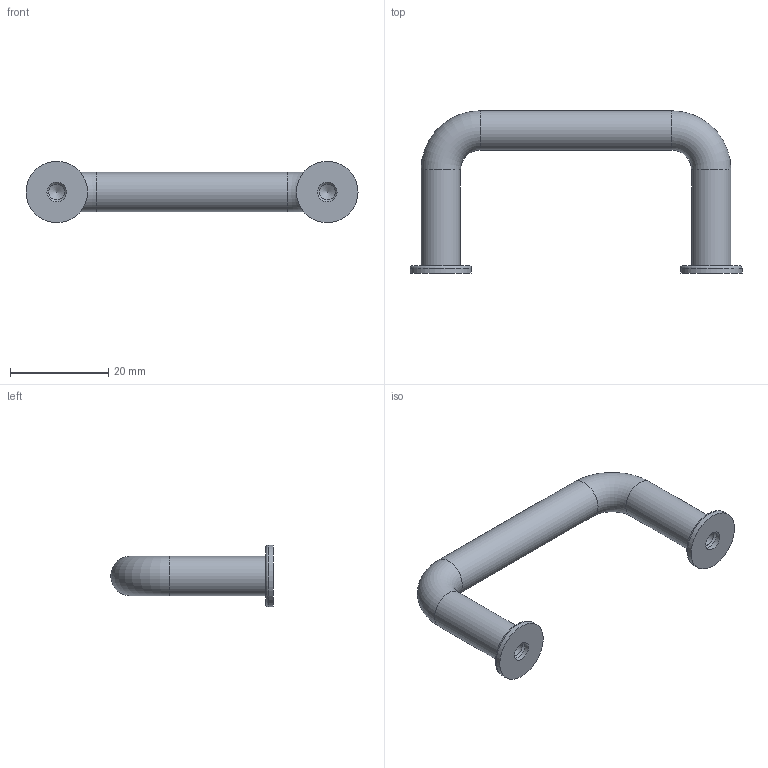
import cadquery as cq
import math

hole_spacing = 55.0
handle_depth = 33.0
bar_diameter = 8.0
bend_radius = 8.0
flange_diameter = 12.5
flange_thickness = 1.5
flange_edge_radius = 0.5
hole_diameter = 3.24
entry_diameter = 4.0
entry_depth = 1.0
hole_depth = 10.0
drill_tip_angle = 118.0

leg_x = hole_spacing / 2
grip_y = handle_depth - bar_diameter / 2
bend_start_y = grip_y - bend_radius
bend_end_x = leg_x - bend_radius
countersink_depth = (entry_diameter - hole_diameter) / 2
drill_tip_length = hole_diameter / 2 / math.tan(math.radians(drill_tip_angle / 2))


def make_bar():
    """Round bar bent into a U, with both leg ends on the mounting plane Y = 0."""
    path = (
        cq.Workplane("XY")
        .moveTo(-leg_x, 0)
        .lineTo(-leg_x, bend_start_y)
        .tangentArcPoint((-bend_end_x, grip_y), relative=False)
        .lineTo(bend_end_x, grip_y)
        .tangentArcPoint((leg_x, bend_start_y), relative=False)
        .lineTo(leg_x, 0)
    )
    section = cq.Workplane("XZ", origin=(-leg_x, 0, 0)).circle(bar_diameter / 2)
    return section.sweep(path)


def make_flange(x):
    """Mounting disc at the end of one leg, rounded on its leg side."""
    disc = cq.Workplane("XZ", origin=(x, flange_thickness, 0))
    disc = disc.circle(flange_diameter / 2).extrude(flange_thickness)
    return disc.faces(">Y").edges().fillet(flange_edge_radius)


def make_hole(x):
    """Blind hole: entry bore, countersink, drilled hole and conical end."""
    hole_radius = hole_diameter / 2
    half_profile = (
        cq.Workplane("XY", origin=(x, 0, 0))
        .moveTo(0, 0)
        .lineTo(entry_diameter / 2, 0)
        .lineTo(entry_diameter / 2, entry_depth)
        .lineTo(hole_radius, entry_depth + countersink_depth)
        .lineTo(hole_radius, hole_depth)
        .lineTo(0, hole_depth + drill_tip_length)
        .close()
    )
    return half_profile.revolve(360, (0, 0, 0), (0, 1, 0))


result = make_bar()
for x in (-leg_x, leg_x):
    result = result.union(make_flange(x))
for x in (-leg_x, leg_x):
    result = result.cut(make_hole(x))